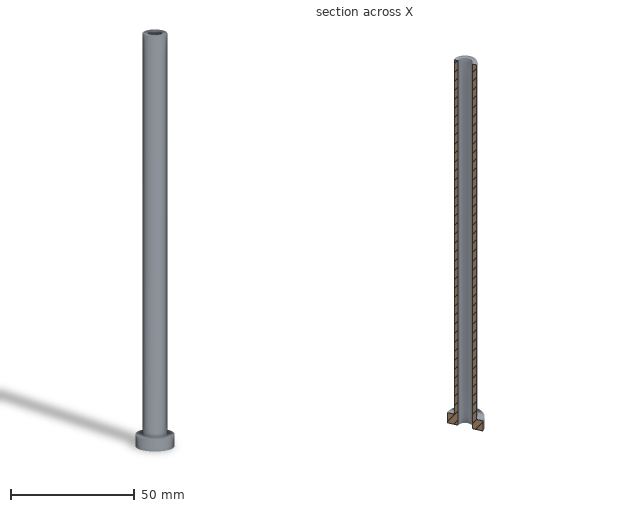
import cadquery as cq

total_length = 175.0
head_diameter = 16.0
head_height = 5.0
shaft_diameter = 10.0
bore_diameter = 6.1
neck_fillet_radius = 0.5

head = cq.Workplane("XY").circle(head_diameter / 2).extrude(head_height)

shaft = cq.Workplane("XY").circle(shaft_diameter / 2).extrude(total_length)
body = head.union(shaft)

head_top = body.faces("<Z[1]")
neck_edge = head_top.edges(cq.selectors.RadiusNthSelector(0))
body = neck_edge.fillet(neck_fillet_radius)

bore = cq.Workplane("XY").circle(bore_diameter / 2).extrude(total_length)
result = body.cut(bore)